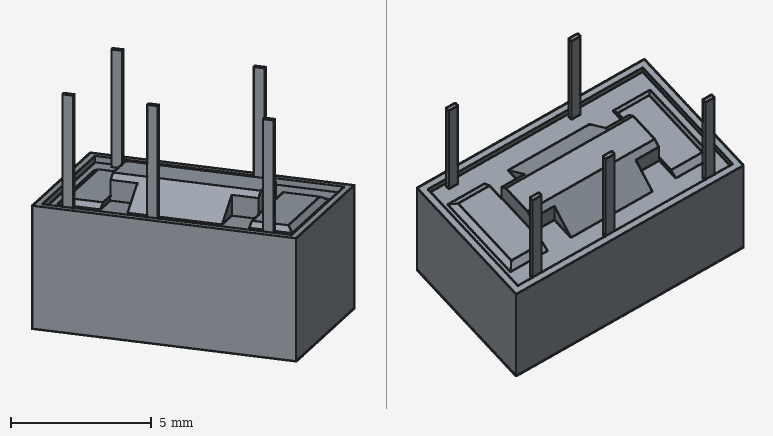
import cadquery as cq

length = 10.0
width = 6.0
body_height = 4.65
rim_width = 0.28
recess_depth = 0.24
floor_z = body_height - recess_depth

overall_height = 8.85
pin_length = 0.4
pin_width = 0.16
pin_row_y = 2.53
front_pin_x = (-3.8, -0.59, 3.8)
back_pin_x = (-3.8, 1.59)

ridge_top_z = body_height + 0.74
ridge_base_half_width = 1.9
ridge_top_half_width = 0.65
ridge_length = 5.6
ridge_wide_length = 3.58
ridge_end_width = 1.8

pad_inner_x = 2.82
pad_outer_x = 4.45
pad_width = 2 * ridge_base_half_width
pad_height = 0.17
end_slope_run = 0.25
side_slope_run = 0.29


def make_body():
    block = cq.Workplane("XY").box(length, width, body_height, centered=(True, True, False))
    recess = (
        cq.Workplane("XY", origin=(0, 0, floor_z))
        .rect(length - 2 * rim_width, width - 2 * rim_width)
        .extrude(recess_depth)
    )
    return block.cut(recess)


def make_ridge():
    bar = (
        cq.Workplane("YZ", origin=(-ridge_length / 2, 0, 0))
        .polyline([
            (-ridge_base_half_width, floor_z),
            (ridge_base_half_width, floor_z),
            (ridge_top_half_width, ridge_top_z),
            (-ridge_top_half_width, ridge_top_z),
        ])
        .close()
        .extrude(ridge_length)
    )
    ridge_height = ridge_top_z - floor_z
    floor = cq.Workplane("XY", origin=(0, 0, floor_z))
    wide_middle = floor.rect(ridge_wide_length, pad_width).extrude(ridge_height)
    narrow_ends = floor.rect(ridge_length, ridge_end_width).extrude(ridge_height)
    return bar.intersect(wide_middle.union(narrow_ends))


def make_pads():
    """Two pads joined by a strip under the ridge, cut from one long plateau."""
    plateau = (
        cq.Workplane("XY", origin=(0, 0, floor_z))
        .rect(2 * pad_outer_x, pad_width)
        .workplane(offset=pad_height)
        .rect(2 * (pad_outer_x - end_slope_run), pad_width - 2 * side_slope_run)
        .loft(ruled=True)
    )
    floor = cq.Workplane("XY", origin=(0, 0, floor_z))
    middle = floor.rect(2 * pad_inner_x, pad_width).extrude(pad_height)
    strip = floor.rect(2 * pad_inner_x, ridge_end_width).extrude(pad_height)
    return plateau.cut(middle.cut(strip))


def make_pins():
    points = [(x, -pin_row_y) for x in front_pin_x]
    points += [(x, pin_row_y) for x in back_pin_x]
    return (
        cq.Workplane("XY", origin=(0, 0, floor_z))
        .pushPoints(points)
        .rect(pin_length, pin_width)
        .extrude(overall_height - floor_z)
    )


result = make_body().union(make_ridge()).union(make_pads()).union(make_pins())